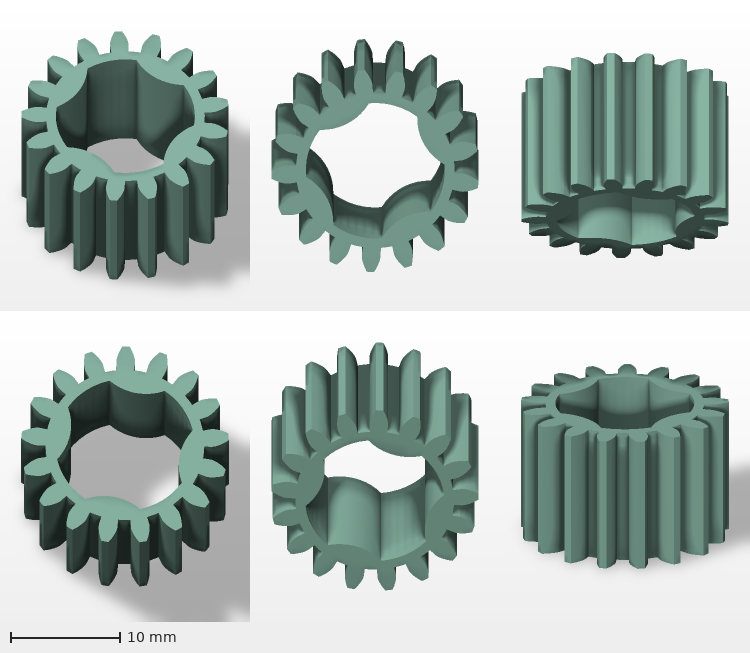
import cadquery as cq
import math

MODULE = 1.0
TOOTH_COUNT = 17
PRESSURE_ANGLE = math.radians(20.0)
FACE_WIDTH = 12.5
DEDENDUM_FACTOR = 1.25

pitch_radius = MODULE * TOOTH_COUNT / 2
base_radius = pitch_radius * math.cos(PRESSURE_ANGLE)
tip_radius = pitch_radius + MODULE
root_radius = pitch_radius - DEDENDUM_FACTOR * MODULE
tooth_pitch = 2 * math.pi / TOOTH_COUNT

BORE_RADIUS = 6.35
LOBE_COUNT = 4
LOBE_RADIUS = 5.0
LOBE_CLEARANCE = 5.1
lobe_center_distance = LOBE_CLEARANCE + LOBE_RADIUS

FLANK_POINTS = 7


def polar(radius, angle):
    """Point at the given radius and angle about the gear axis."""
    return (radius * math.cos(angle), radius * math.sin(angle))


def involute(angle):
    """Involute function of a pressure angle."""
    return math.tan(angle) - angle


def half_tooth_angle(radius):
    """Angle from the tooth centreline to its flank; the flank is radial below the base circle."""
    local_pressure_angle = math.acos(min(1.0, base_radius / radius))
    return tooth_pitch / 4 + involute(PRESSURE_ANGLE) - involute(local_pressure_angle)


def flank(center_angle, side):
    """Involute points from the base circle to the tip; side is -1 (leading) or +1 (trailing)."""
    step = (tip_radius - base_radius) / (FLANK_POINTS - 1)
    radii = [base_radius + i * step for i in range(FLANK_POINTS)]
    return [polar(r, center_angle + side * half_tooth_angle(r)) for r in radii]


def make_toothed_blank():
    """Full-width gear body; one tooth is centred on +X."""
    root_half_angle = half_tooth_angle(root_radius)
    outline = cq.Workplane("XY").moveTo(*polar(root_radius, -root_half_angle))
    for i in range(TOOTH_COUNT):
        center_angle = i * tooth_pitch
        rising = flank(center_angle, -1)
        falling = flank(center_angle, 1)[::-1]
        gap_middle = polar(root_radius, center_angle + tooth_pitch / 2)
        gap_end = polar(root_radius, center_angle + tooth_pitch - root_half_angle)
        outline = (
            outline.lineTo(*rising[0])
            .spline(rising[1:], includeCurrent=True)
            .threePointArc(polar(tip_radius, center_angle), falling[0])
            .spline(falling[1:], includeCurrent=True)
            .lineTo(*polar(root_radius, center_angle + root_half_angle))
            .threePointArc(gap_middle, gap_end)
        )
    return outline.close().extrude(FACE_WIDTH)


def make_bore():
    """Through-hole shape: the round bore less its four lobes."""
    bore = cq.Workplane("XY").circle(BORE_RADIUS).extrude(FACE_WIDTH)
    lobes = (
        cq.Workplane("XY")
        .polarArray(lobe_center_distance, 0, 360, LOBE_COUNT)
        .circle(LOBE_RADIUS)
        .extrude(FACE_WIDTH)
    )
    return bore.cut(lobes)


result = make_toothed_blank().cut(make_bore())